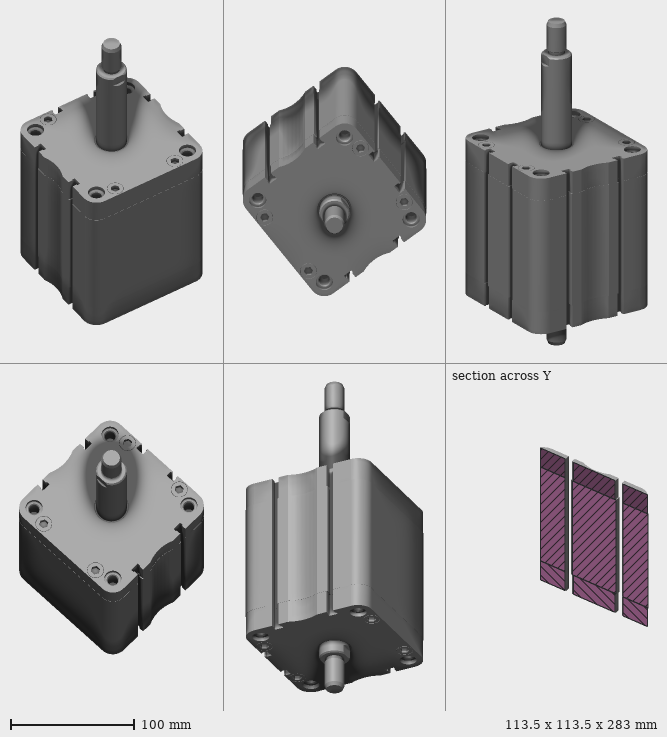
import cadquery as cq

BARREL_SIDE = 113.5
CAP_SIDE = 113.2
CORNER_RADIUS = 12.2
BODY_HEIGHT = 137.0
CAP_HEIGHT = 19.5
BARREL_HEIGHT = BODY_HEIGHT - 2 * CAP_HEIGHT

SCALLOP_WIDTH = 26.5
SCALLOP_DEPTH = 2.8

CAP_FRONT_MOUTH = (21.8, 27.7)
BARREL_FRONT_MOUTH = (22.5, 27.7)
FRONT_UNDERCUT = 0.8
FRONT_LIP = 4.0
FRONT_SLOT_DEPTH = 6.8

CAP_LEFT_MOUTH = (14.2, 20.0)
BARREL_LEFT_MOUTH = (15.0, 21.0)
LEFT_UNDERCUT = 0.8
LEFT_LIP = 1.5
LEFT_SLOT_DEPTH = 6.0

MOUNT_OFFSET = 44.5
MOUNT_COUNTERBORE_DIAMETER = 14.0
MOUNT_COUNTERBORE_DEPTH = 3.5
MOUNT_COUNTERSINK_DIAMETER = 10.2
MOUNT_HOLE_DIAMETER = 8.5
MOUNT_COUNTERSINK_DEPTH = (MOUNT_COUNTERSINK_DIAMETER - MOUNT_HOLE_DIAMETER) / 2

SCREW_X = 49.0
SCREW_Y = 29.1
SCREW_HEAD_DIAMETER = 13.0
SCREW_GROOVE_DIAMETER = 13.5
SCREW_GROOVE_DEPTH = 2.8
SOCKET_CORNERS_DIAMETER = 7.5
SOCKET_DEPTH = 4.0

ROD_DIAMETER = 25.0
ROD_TOP_LENGTH = 80.0
ROD_BOTTOM_LENGTH = 10.0
SHOULDER_CHAMFER = 1.0
STUD_DIAMETER = 16.0
STUD_LENGTH = 28.0
STUD_TIP_DIAMETER = 13.5
STUD_TIP_LENGTH = 3.0
NECK_DIAMETER = 13.5
NECK_LENGTH = 2.5
NECK_TAPER_LENGTH = 0.8

FLAT_DISTANCE = 22.0
FLAT_LENGTH = 7.5
FLAT_RUNOUT = 1.0

CAP_BORE_DIAMETER = 27.0
CAP_BORE_MOUTH_DIAMETER = 28.0
CAP_BORE_CHAMFER = (CAP_BORE_MOUTH_DIAMETER - CAP_BORE_DIAMETER) / 2
RING_LENGTH = CAP_HEIGHT - CAP_BORE_CHAMFER
RING_MOUTH_DIAMETER = 25.5
RING_CHAMFER = (RING_MOUTH_DIAMETER - ROD_DIAMETER) / 2


def four_corners(x, y):
    return [(sign_x * x, sign_y * y) for sign_x in (-1, 1) for sign_y in (-1, 1)]


def cylinder(diameter, height, z=0):
    return cq.Workplane("XY").workplane(offset=z).circle(diameter / 2).extrude(height)


def countersink(mouth_diameter, depth, z):
    """45 degree cone that narrows downward from its mouth at height z."""
    return cq.Workplane("XY").workplane(offset=z).circle(mouth_diameter / 2).extrude(-depth, taper=45)


def cut_at(body, cutter, places):
    for x, y in places:
        body = body.cut(cutter.translate((x, y, 0)))
    return body



def t_slot(face, mouth, undercut, lip, depth, height):
    """T-slot cutter for the face at x = -face; mouth is (low, high) along y."""
    def channel(inset, walls):
        low, high = walls
        box = cq.Workplane("XY").box(depth - inset, high - low, height, centered=False)
        return box.translate((inset - face, low, 0))

    cavity = (mouth[0] - undercut, mouth[1] + undercut)
    return channel(0, mouth).union(channel(lip, cavity))


def scallop(face, height):
    """Scallop cutter for the face at y = -face."""
    half_width = SCALLOP_WIDTH / 2
    return (
        cq.Workplane("XY")
        .moveTo(-half_width, -face)
        .threePointArc((0, SCALLOP_DEPTH - face), (half_width, -face))
        .close()
        .extrude(height)
    )


def housing_block(side, height, front_mouth, left_mouth):
    face = side / 2
    block = (
        cq.Workplane("XY")
        .box(side, side, height, centered=(True, True, False))
        .edges("|Z")
        .fillet(CORNER_RADIUS)
    )
    front_slot = t_slot(face, front_mouth, FRONT_UNDERCUT, FRONT_LIP, FRONT_SLOT_DEPTH, height)
    front_slot = front_slot.rotate((0, 0, 0), (0, 0, 1), 90)
    front = front_slot.union(front_slot.mirror("YZ")).union(scallop(face, height))
    left = t_slot(face, left_mouth, LEFT_UNDERCUT, LEFT_LIP, LEFT_SLOT_DEPTH, height)
    for cutter in (front, left):
        block = block.cut(cutter).cut(cutter.mirror("XZ"))
    return block



def make_barrel():
    barrel = housing_block(BARREL_SIDE, BARREL_HEIGHT, BARREL_FRONT_MOUTH, BARREL_LEFT_MOUTH)
    return barrel.cut(cylinder(ROD_DIAMETER, BARREL_HEIGHT)).translate((0, 0, CAP_HEIGHT))



def mount_hole():
    seat = CAP_HEIGHT - MOUNT_COUNTERBORE_DEPTH
    return (
        cylinder(MOUNT_HOLE_DIAMETER, CAP_HEIGHT)
        .union(countersink(MOUNT_COUNTERSINK_DIAMETER, MOUNT_COUNTERSINK_DEPTH, seat))
        .union(cylinder(MOUNT_COUNTERBORE_DIAMETER, MOUNT_COUNTERBORE_DEPTH, seat))
    )


def screw_groove():
    outer = cylinder(SCREW_GROOVE_DIAMETER, -SCREW_GROOVE_DEPTH, CAP_HEIGHT)
    return outer.cut(cylinder(SCREW_HEAD_DIAMETER, -SCREW_GROOVE_DEPTH, CAP_HEIGHT))


def screw_socket():
    """Hexagon with two corners along y."""
    return (
        cq.Workplane("XY")
        .workplane(offset=CAP_HEIGHT)
        .polygon(6, SOCKET_CORNERS_DIAMETER)
        .extrude(-SOCKET_DEPTH)
        .rotate((0, 0, 0), (0, 0, 1), 30)
    )


def make_cap():
    cap = housing_block(CAP_SIDE, CAP_HEIGHT, CAP_FRONT_MOUTH, CAP_LEFT_MOUTH)
    cap = cut_at(cap, mount_hole(), four_corners(MOUNT_OFFSET, MOUNT_OFFSET))
    screw_places = four_corners(SCREW_X, SCREW_Y)
    cap = cut_at(cap, screw_groove(), screw_places)
    cap = cut_at(cap, screw_socket(), screw_places)
    cap = cap.cut(cylinder(CAP_BORE_DIAMETER, CAP_HEIGHT))
    return cap.cut(countersink(CAP_BORE_MOUTH_DIAMETER, CAP_BORE_CHAMFER, CAP_HEIGHT))



def make_guide_ring():
    ring = cylinder(CAP_BORE_DIAMETER, RING_LENGTH).cut(cylinder(ROD_DIAMETER, RING_LENGTH))
    return ring.cut(countersink(RING_MOUTH_DIAMETER, RING_CHAMFER, RING_LENGTH))



def rod_end_outline(shoulder, direction):
    """(radius, z) points from the rod's side out to the tip; direction is 1 for up, -1 for down."""
    def beyond(distance):
        return shoulder + direction * distance

    return [
        (ROD_DIAMETER / 2, beyond(-SHOULDER_CHAMFER)),
        (ROD_DIAMETER / 2 - SHOULDER_CHAMFER, shoulder),
        (NECK_DIAMETER / 2, shoulder),
        (NECK_DIAMETER / 2, beyond(NECK_LENGTH)),
        (STUD_DIAMETER / 2, beyond(NECK_LENGTH + NECK_TAPER_LENGTH)),
        (STUD_DIAMETER / 2, beyond(STUD_LENGTH - STUD_TIP_LENGTH)),
        (STUD_TIP_DIAMETER / 2, beyond(STUD_LENGTH)),
        (0, beyond(STUD_LENGTH)),
    ]


def wrench_flat(shoulder, direction):
    """Cutter for the flat on the +X side, with a sloped run-out at its inner end."""
    flat_x = FLAT_DISTANCE / 2
    flat_end = shoulder - direction * FLAT_LENGTH
    outline = [
        (flat_x, shoulder),
        (flat_x, flat_end),
        (ROD_DIAMETER / 2, flat_end - direction * FLAT_RUNOUT),
        (ROD_DIAMETER / 2, shoulder),
    ]
    return cq.Workplane("XZ").polyline(outline).close().extrude(ROD_DIAMETER / 2, both=True)


def make_rod():
    top_end = (BODY_HEIGHT + ROD_TOP_LENGTH, 1)
    bottom_end = (-ROD_BOTTOM_LENGTH, -1)
    outline = rod_end_outline(*top_end) + rod_end_outline(*bottom_end)[::-1]
    rod = cq.Workplane("XZ").polyline(outline).close().revolve(360, (0, 0, 0), (0, 1, 0))
    for end in (top_end, bottom_end):
        flat = wrench_flat(*end)
        rod = rod.cut(flat).cut(flat.mirror("YZ"))
    return rod



def at_both_ends(make_body):
    """One copy in the upper cap position and a mirrored copy in the lower one."""
    upper = make_body().translate((0, 0, BODY_HEIGHT - CAP_HEIGHT))
    lower = make_body().mirror("XY").translate((0, 0, CAP_HEIGHT))
    return [upper.val(), lower.val()]


barrel = make_barrel()
rod = make_rod()
caps = at_both_ends(make_cap)
guide_rings = at_both_ends(make_guide_ring)

result = cq.Compound.makeCompound([barrel.val(), rod.val(), *caps, *guide_rings])